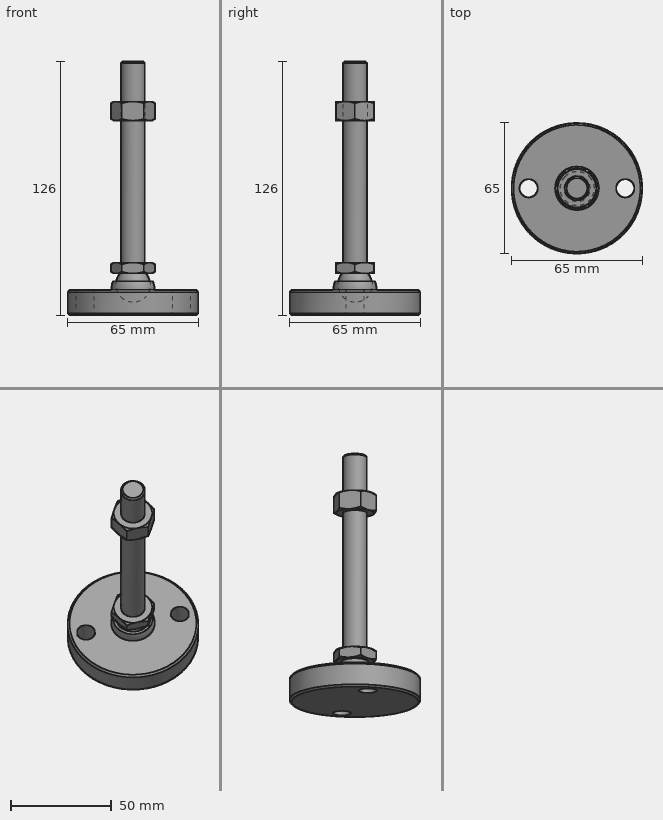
import cadquery as cq
import math


base_diameter = 65.0
base_height = 12.5
base_chamfer = 1.0
mount_hole_diameter = 9.0
mount_hole_spacing = 48.0

socket_radius = 10.8
socket_top = 16.9
ball_radius = 8.6
ball_center = 15.1

overall_height = 126.0
rod_diameter = 12.0
rod_chamfer = 0.9
stud_hex_bottom = 20.7
stud_hex_height = 5.4

nut_bottom = 96.6
nut_height = 9.5

hex_across_flats = 19.0
hex_bevel_angle = 30.0


def make_ball():
    return cq.Workplane("XY").sphere(ball_radius).translate((0, 0, ball_center))


def make_hexagon(bottom, height):
    """Hexagonal prism with its corners turned to a cone at both ends."""
    across_corners = hex_across_flats / math.cos(math.radians(30))
    corner_radius = across_corners / 2
    face_radius = hex_across_flats / 2
    bevel_height = (corner_radius - face_radius) * math.tan(math.radians(hex_bevel_angle))
    prism = cq.Workplane("XY").polygon(6, across_corners).extrude(height)
    turned_envelope = (
        cq.Workplane("XZ")
        .moveTo(0, 0)
        .lineTo(face_radius, 0)
        .lineTo(corner_radius, bevel_height)
        .lineTo(corner_radius, height - bevel_height)
        .lineTo(face_radius, height)
        .lineTo(0, height)
        .close()
        .revolve(360, (0, 0), (0, 1))
    )
    return prism.intersect(turned_envelope).translate((0, 0, bottom))


def make_base():
    disc = cq.Workplane("XY").circle(base_diameter / 2).extrude(base_height).edges().chamfer(base_chamfer)
    dome_limit = cq.Workplane("XY").workplane(offset=base_height).circle(socket_radius).extrude(
        socket_top - base_height
    )
    dome = cq.Workplane("XY").sphere(socket_radius).translate((0, 0, base_height)).intersect(dome_limit)
    mount_holes = (
        cq.Workplane("XY")
        .pushPoints([(-mount_hole_spacing / 2, 0), (mount_hole_spacing / 2, 0)])
        .circle(mount_hole_diameter / 2)
        .extrude(base_height)
    )
    return disc.union(dome).cut(mount_holes).cut(make_ball())


def make_stud():
    rod = (
        cq.Workplane("XY")
        .workplane(offset=stud_hex_bottom)
        .circle(rod_diameter / 2)
        .extrude(overall_height - stud_hex_bottom)
        .faces(">Z")
        .chamfer(rod_chamfer)
    )
    return make_ball().union(make_hexagon(stud_hex_bottom, stud_hex_height)).union(rod)


def make_lock_nut():
    bore = cq.Workplane("XY").workplane(offset=nut_bottom).circle(rod_diameter / 2).extrude(nut_height)
    return make_hexagon(nut_bottom, nut_height).cut(bore)


base = make_base()
stud = make_stud()
lock_nut = make_lock_nut()

result = cq.Compound.makeCompound([base.val(), stud.val(), lock_nut.val()])